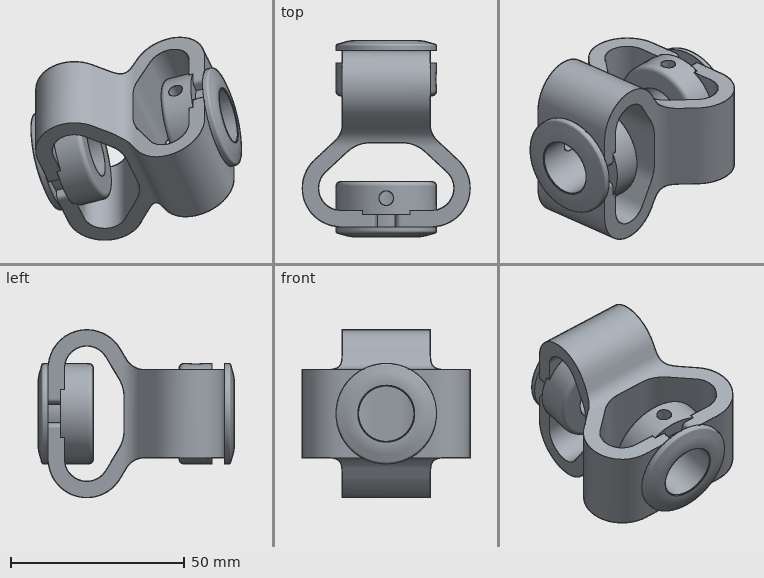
import cadquery as cq
import math


length = 56.65

yoke_width = 25.5
half_width = yoke_width / 2
strap = 4.75
outer_radius = 11.15
inner_radius = outer_radius - strap
bend_x = 13.1
neck_fillet = 6.0
pocket_fillet = 10.0
front_plate_face = -1.2
rear_plate_face = front_plate_face + strap
front_slope = 43.0
rear_slope = 31.0
stem_reach = 4.55

flange_thickness = 2.9
flange_radius = 14.5
rim_height = 1.2
shoulder_radius = 13.95
shoulder_height = 1.85
cone_end_radius = 11.55
cone_end_height = 2.55
face_radius = 9.2
neck_radius = 10.35
collar_front = 21.9
collar_back = 12.35
collar_fillet = 1.4
bore_radius = 8.0
bore_chamfer = 0.2
cross_hole_radius = 2.1
cross_hole_y = 17.15

wall_y = length / 2 - flange_thickness
bend_y = wall_y - outer_radius

slot_half_angle = 14.5
lip_fillet = 1.25

far = 2 * length


def arm_start(radius, slope):
    """Point where the right-hand bend runs into the sloping arm."""
    angle = math.radians(slope)
    return bend_x + radius * math.sin(angle), bend_y - radius * math.cos(angle)


def bell(radius, slope, corner, end_y, depth):
    """Prism, centred on Z: straight wall at +Y, round bends, arms sloping in to the
    right-hand corner and its mirror, then straight sides down to end_y."""
    corner_x, corner_y = corner
    start_x, start_y = arm_start(radius, slope)
    outline = cq.Workplane("XY").moveTo(corner_x, corner_y).lineTo(start_x, start_y)
    outline = outline.threePointArc((bend_x + radius, bend_y), (bend_x, bend_y + radius))
    outline = outline.lineTo(-bend_x, bend_y + radius)
    outline = outline.threePointArc((-bend_x - radius, bend_y), (-start_x, start_y))
    outline = outline.lineTo(-corner_x, corner_y)
    if end_y < corner_y:
        outline = outline.lineTo(-corner_x, end_y).lineTo(corner_x, end_y)
    return outline.close().extrude(depth / 2, both=True)


def round_corners(prism, corner, radius):
    """Round the upright edges at the corner and at its mirror image."""
    corner_x, corner_y = corner
    for x in (-corner_x, corner_x):
        prism = prism.edges(cq.NearestToPointSelector((x, corner_y, 0))).fillet(radius)
    return prism


def yoke_body(slope, depth):
    """Solid yoke with its stem; the arms run in until they meet the stem sides."""
    start_x, start_y = arm_start(outer_radius, slope)
    corner_y = start_y - (start_x - half_width) * math.tan(math.radians(slope))
    corner = (half_width, corner_y)
    return round_corners(bell(outer_radius, slope, corner, -stem_reach, depth), corner, neck_fillet)


def pocket(slope, plate_face):
    """Opening through a yoke, parallel to its outline and flat at the plate."""
    start_x, start_y = arm_start(inner_radius, slope)
    corner_x = start_x - (start_y - plate_face) / math.tan(math.radians(slope))
    corner = (corner_x, plate_face)
    return round_corners(bell(inner_radius, slope, corner, plate_face, far), corner, pocket_fillet)


def wall_slots():
    """Wedges with radial flanks and rounded lips that open the wall, up and down."""
    flank = math.radians(slot_half_angle)
    lip_setback = lip_fillet * math.tan((math.pi / 2 - flank) / 2)
    mouth_x = half_width * math.tan(flank)
    lip_x = mouth_x + lip_setback
    flank_x = mouth_x - lip_setback * math.sin(flank)
    flank_z = half_width - lip_setback * math.cos(flank)
    slot = (
        cq.Workplane("XZ", origin=(0, wall_y, 0))
        .lineTo(flank_x, flank_z)
        .radiusArc((lip_x, half_width), lip_fillet)
        .lineTo(-lip_x, half_width)
        .radiusArc((-flank_x, flank_z), lip_fillet)
        .close()
        .extrude(wall_y - collar_front)
    )
    return slot.union(slot.mirror("XY"))


def bushing():
    """Flange, neck and collar turned about Y, without the bore."""
    return (
        cq.Workplane("XY")
        .moveTo(0, collar_back)
        .lineTo(flange_radius - collar_fillet, collar_back)
        .radiusArc((flange_radius, collar_back + collar_fillet), -collar_fillet)
        .lineTo(flange_radius, collar_front)
        .lineTo(neck_radius, collar_front)
        .lineTo(neck_radius, wall_y)
        .lineTo(flange_radius, wall_y)
        .lineTo(flange_radius, wall_y + rim_height)
        .tangentArcPoint((shoulder_radius, wall_y + shoulder_height), relative=False)
        .lineTo(cone_end_radius, wall_y + cone_end_height)
        .tangentArcPoint((face_radius, wall_y + flange_thickness), relative=False)
        .lineTo(0, wall_y + flange_thickness)
        .close()
        .revolve(360, (0, 0, 0), (0, 1, 0))
    )


def bushing_bore():
    """Bore with a chamfered mouth, and the cross hole from the +Z side of the collar."""
    end_y = wall_y + flange_thickness
    mouth_radius = bore_radius + bore_chamfer
    bore = (
        cq.Workplane("XY")
        .polyline([
            (0, collar_back),
            (bore_radius, collar_back),
            (bore_radius, end_y - bore_chamfer),
            (mouth_radius, end_y),
            (0, end_y),
        ])
        .close()
        .revolve(360, (0, 0, 0), (0, 1, 0))
    )
    cross_hole = cq.Workplane("XY").center(0, cross_hole_y).circle(cross_hole_radius).extrude(flange_radius)
    return bore.union(cross_hole)


def to_front(shape):
    return shape.rotate((0, 0, 0), (0, 0, 1), 180)


def to_rear(shape):
    return shape.rotate((0, 0, 0), (0, 1, 0), 90)


junction = to_front(yoke_body(front_slope, far)).intersect(to_rear(yoke_body(rear_slope, far)))
result = (
    to_front(yoke_body(front_slope, yoke_width))
    .union(to_rear(yoke_body(rear_slope, yoke_width)))
    .union(junction)
    .cut(to_front(pocket(front_slope, -front_plate_face)))
    .cut(to_rear(pocket(rear_slope, rear_plate_face)))
)

for place in (to_front, to_rear):
    result = result.cut(place(wall_slots())).union(place(bushing())).cut(place(bushing_bore()))